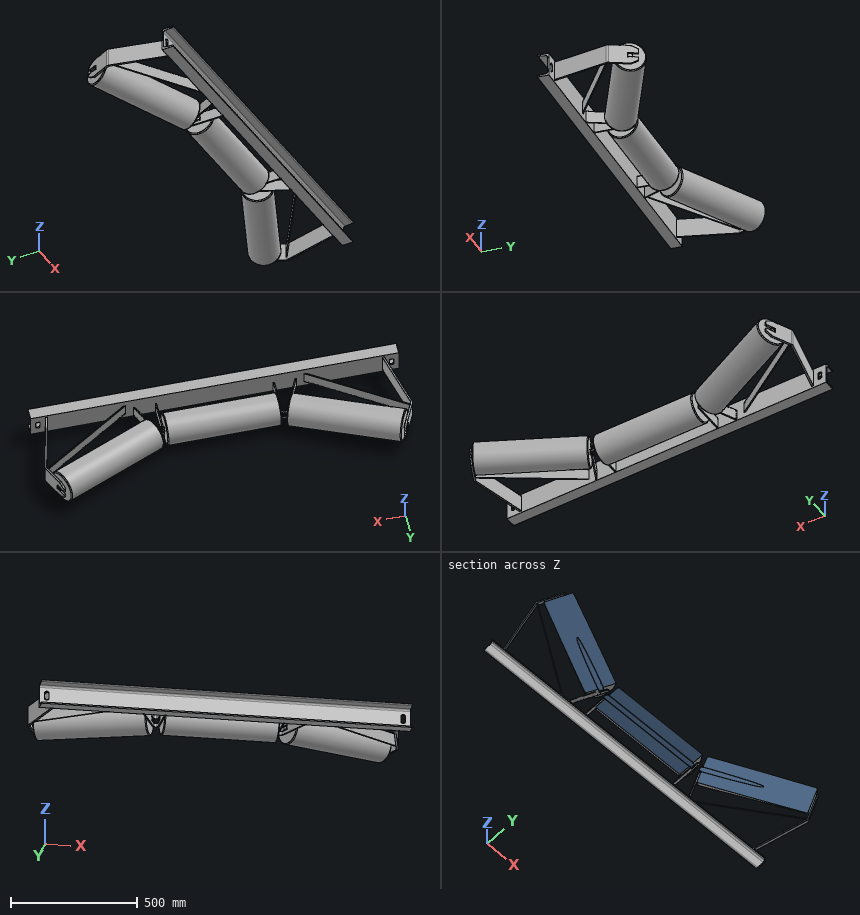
import cadquery as cq
import math


beam_length = 1500.0
beam_height = 100.0
flange_width = 50.0
web_thickness = 6.0
flange_thickness = 8.5
flange_taper = 0.08
root_radius = 8.5
tip_radius = 4.5
mount_slot_width = 18.0
mount_slot_height = 36.0
mount_slot_inset = 30.0

roller_diameter = 133.0
roller_length = 465.0
shaft_diameter = 20.0
roller_chamfer = 4.0
flat_height = 14.0
end_gap = 5.0
middle_axis_y = 115.0
middle_axis_z = -21.7
trough_angle = 25.0
tilt_angle = 2.392
side_inner_x = 277.5
side_inner_y = 127.8

bracket_height = 80.0
post_thickness = 8.0
post_foot_x = 690.0
post_bend_y = 247.0
post_bend_radius = 14.0
post_tip_length = 125.0
tip_chamfer_length = 30.0
tip_chamfer_width = 15.0

fork_thickness = 5.0
fork_height = 50.0
fork_top_y = 150.0
fork_bend_radius = 10.0

slot_height = 18.0
slot_clearance = 0.5
slot_reach = 60.0

strut_thickness = 5.0
strut_height = 50.0
strut_top_z = strut_height / 2
strut_foot_x = 372.0

trough = math.radians(trough_angle)
tilt = math.radians(tilt_angle)
axle_reach = end_gap + fork_thickness
side_axis = cq.Vector(
    math.cos(tilt) * math.cos(trough), math.cos(tilt) * math.sin(trough), math.sin(tilt)
)
across_side = cq.Vector(-math.sin(trough), math.cos(trough), 0)
along_side = cq.Vector(math.cos(trough), math.sin(trough), 0)
side_inner = cq.Vector(side_inner_x, side_inner_y, middle_axis_z)
side_center = side_inner + side_axis * (roller_length / 2)
post_inner_distance = roller_length + end_gap


def point_on_side(distance, y):
    """XY point at height y on the line across a side roller, at a distance outward from its inner end."""
    base = side_inner + along_side * distance
    slide = (y - base.y) / across_side.y
    return (base.x + across_side.x * slide, y)


def plate(points, height=bracket_height, top=bracket_height / 2):
    """Upright prism over an XY polygon."""
    base = cq.Workplane("XY", origin=(0, 0, top - height))
    return base.polyline(points).close().extrude(height)


def near(point, margin=1.0):
    """Selects the upright edge at an XY point."""
    x, y = point
    return cq.selectors.BoxSelector(
        (x - margin, y - margin, -beam_height), (x + margin, y + margin, beam_height)
    )


def mirrored(right):
    """Left copy of a right side shape."""
    return right.mirror("YZ")


def at_middle(shape):
    return shape.translate((0, middle_axis_y, middle_axis_z))


def at_right(shape):
    turned = shape.rotate((0, 0, 0), (0, 1, 0), -tilt_angle).rotate((0, 0, 0), (0, 0, 1), trough_angle)
    return turned.translate(side_center)


def at_left(shape):
    return mirrored(at_right(shape))


placements = [at_left, at_middle, at_right]


def bar_along_x(diameter, length):
    """Round bar along X, centered on the origin."""
    start = cq.Plane((-length / 2, 0, 0), xDir=(0, 0, 1), normal=(1, 0, 0))
    return cq.Workplane(start).circle(diameter / 2).extrude(length)


def roller():
    """Drum with chamfered rims, bored for its shaft."""
    drum = bar_along_x(roller_diameter, roller_length).edges("%CIRCLE").chamfer(roller_chamfer)
    return drum.cut(bar_along_x(shaft_diameter, roller_length))


def shaft():
    """Round shaft with a pair of flats at each end."""
    length = roller_length + 2 * axle_reach
    rod = bar_along_x(shaft_diameter, length)
    ends = cq.Workplane("XY").box(length, shaft_diameter, flat_height)
    body = cq.Workplane("XY").box(roller_length, shaft_diameter, shaft_diameter)
    return rod.intersect(ends.union(body))


def shaft_slots():
    """Cutter for the slots that take both ends of a shaft."""
    closed_end = -shaft_diameter / 2 - slot_clearance
    length = roller_length + 2 * (axle_reach + post_thickness)
    return (
        cq.Workplane("XY")
        .box(length, slot_reach, slot_height, centered=(True, False, True))
        .translate((0, closed_end, 0))
    )


def beam():
    """Channel section with its open side toward -Y and a mounting slot near each end."""
    half = beam_height / 2
    taper_rise = flange_taper * flange_width / 2
    tip_z = half - flange_thickness + taper_rise
    root_z = half - flange_thickness - taper_rise + flange_taper * web_thickness
    profile = (
        cq.Workplane("YZ", origin=(-beam_length / 2, 0, 0))
        .moveTo(0, -half)
        .lineTo(-flange_width, -half)
        .lineTo(-flange_width, -tip_z)
        .lineTo(-web_thickness, -root_z)
        .lineTo(-web_thickness, root_z)
        .lineTo(-flange_width, tip_z)
        .lineTo(-flange_width, half)
        .lineTo(0, half)
        .close()
    )
    section = profile.extrude(beam_length)
    for y, z, radius in [(-web_thickness, root_z, root_radius), (-flange_width, tip_z, tip_radius)]:
        for side in (-1, 1):
            edge = cq.selectors.NearestToPointSelector((0, y, side * z))
            section = section.edges(edge).fillet(radius)
    mount_x = beam_length / 2 - mount_slot_inset
    slots = (
        cq.Workplane("XZ")
        .pushPoints([(-mount_x, 0), (mount_x, 0)])
        .slot2D(mount_slot_height, mount_slot_width, 90)
        .extrude(web_thickness)
    )
    return section.cut(slots)


def post():
    """Right outer bracket: a bar bent toward the side roller's end."""
    bend = cq.Vector(*point_on_side(post_inner_distance + post_thickness, post_bend_y))
    foot = cq.Vector(post_foot_x, 0)
    tip = bend + across_side * post_tip_length
    lean = (bend - foot).normalized()
    lower_normal = cq.Vector(-lean.y, lean.x)
    upper_normal = along_side * -1
    miter = (lower_normal + upper_normal) * (post_thickness / (1 + lower_normal.dot(upper_normal)))
    inner_foot = foot - cq.Vector(post_thickness / lean.y, 0)
    inner_bend = bend + miter
    inner_tip = tip + upper_normal * post_thickness
    corners = [foot, bend, tip, inner_tip, inner_bend, inner_foot]
    bar = plate([(p.x, p.y) for p in corners])
    bar = bar.edges(near((bend.x, bend.y))).fillet(post_bend_radius)
    bar = bar.edges(near((inner_bend.x, inner_bend.y))).fillet(post_bend_radius - post_thickness)
    face = cq.Plane(tip, xDir=across_side, normal=upper_normal)
    for side in (-1, 1):
        edge = side * bracket_height / 2
        corner = (
            cq.Workplane(face)
            .moveTo(0, edge)
            .lineTo(-tip_chamfer_length, edge)
            .lineTo(0, edge - side * tip_chamfer_width)
            .close()
            .extrude(post_thickness)
        )
        bar = bar.cut(corner)
    return bar


def fork():
    """Right inner bracket: a sheet folded over between the middle and side rollers."""

    def filled(inset):
        middle_x = roller_length / 2 + end_gap + inset
        top_y = fork_top_y - inset
        side_distance = -end_gap - inset
        corners = [
            (middle_x, 0),
            (middle_x, top_y),
            point_on_side(side_distance, top_y),
            point_on_side(side_distance, 0),
        ]
        solid = plate(corners, fork_height, middle_axis_z + fork_height / 2)
        for corner in corners[1:3]:
            solid = solid.edges(near(corner)).fillet(fork_bend_radius - inset)
        return solid

    return filled(0).cut(filled(fork_thickness))


def strut():
    """Right diagonal strut from the beam to the bend of the outer bracket."""
    foot = cq.Vector(strut_foot_x, 0)
    head = cq.Vector(*point_on_side(post_inner_distance + post_thickness / 2, post_bend_y))
    run = (head - foot).normalized()
    upper_head = head + cq.Vector(-run.y, run.x) * strut_thickness
    upper_foot = foot - cq.Vector(strut_thickness / run.y, 0)
    corners = [foot, head, upper_head, upper_foot]
    return plate([(p.x, p.y) for p in corners], strut_height, strut_top_z)


def frame():
    """Beam with its brackets and struts welded on."""
    right = post().union(strut()).union(fork())
    welded = beam().union(right).union(mirrored(right))
    for place in placements:
        welded = welded.cut(place(shaft_slots()))
    return welded


rollers = [place(roller()).val() for place in placements]
shafts = [place(shaft()).val() for place in placements]
result = cq.Compound.makeCompound([*frame().solids().vals(), *rollers, *shafts])